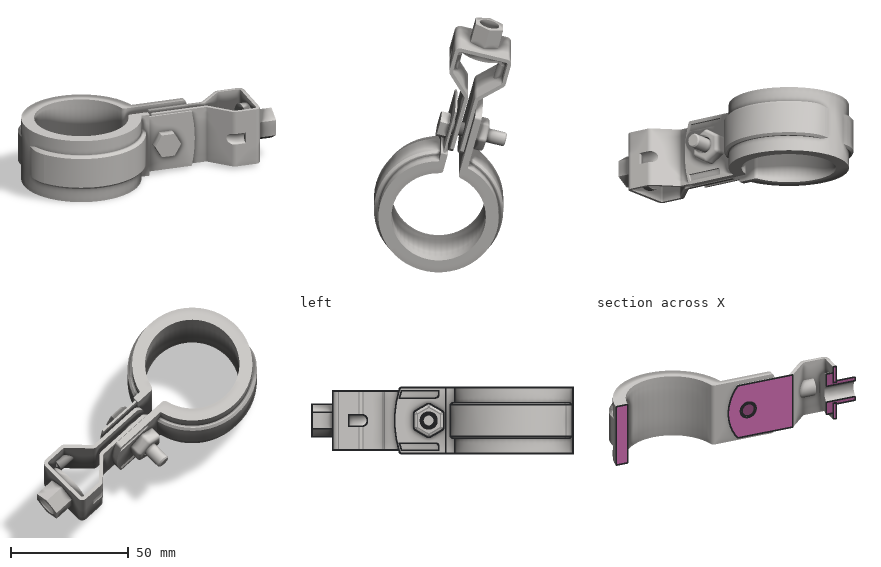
import cadquery as cq
import math

overall_length = 110.8
bore_diameter = 40.0
ring_radius = 25.5
ring_height = 28.0
gap_half = 3.4
gap_corner_radius = 1.5
lug_thickness = 2.9
lug_end_y = 28.5

band_diameter = 54.9
band_height = 15.2
band_chamfer = 1.0
band_flat_y = -24.9
band_blend_radius = 14.0

strip_height = 25.0

bolt_y = 35.8
bolt_hole_diameter = 7.0
flap_length = 21.7
flap_bulge = 2.2
flap_corner_radius = 1.1
groove_outer_z = 12.5
groove_inner_z = 9.5
groove_start_y = 31.6
groove_outer_end_y = 47.3
groove_inner_end_y = 48.2
groove_depth = 1.0
groove_corner_radius = 1.3
plate_thickness = 0.9
plate_length = 20.6
plate_bulge = 1.3
plate_offset = 1.0

sheet = 1.5
bracket_half_width = 12.3
bracket_top_y = 76.5
shoulder_y = 64.4
leg_gap = 2.8
leg_end_y = 26.5
leg_bulge = 4.4
top_bend_radius = 2.3
inner_bend_radius = 1.0
outer_bend_radius = inner_bend_radius + sheet

stop_groove_diameter = 4.9
stop_bulge_diameter = 8.5
stop_inset = 0.2
stop_end_y = 69.6

coupling_flats = 12.0
neck_diameter = 10.5
coupling_bore = 8.5
flange_diameter = 20.0
flange_thickness = 3.1

bolt_diameter = 6.0
bolt_tip_diameter = 4.9
bolt_tip_x = -20.0
head_flats = 10.0
head_height = 4.0
nut_flats = 12.7
nut_height = 5.3
nut_edge_radius = 1.4

bore_radius = bore_diameter / 2
band_radius = band_diameter / 2
leg_half_gap = leg_gap / 2
coupling_end_y = overall_length - ring_radius
lug_outer_x = gap_half + lug_thickness
plate_inner_x = gap_half + plate_offset
plate_outer_x = plate_inner_x + plate_thickness


def cylinder_along_x(diameter, x_from, x_to):
    """Cylinder on the bolt axis."""
    plane = cq.Workplane("YZ", origin=(x_from, bolt_y, 0))
    return plane.circle(diameter / 2).extrude(x_to - x_from)


def hexagon_diameter(flats):
    """Distance across the corners of a hexagon."""
    return flats / math.cos(math.pi / 6)


def bolt_hole():
    """Cutter for the clearance hole through the clamped bodies."""
    return cylinder_along_x(bolt_hole_diameter, -ring_radius, ring_radius)


def tongue(x_from, x_to, y_from, y_to, height, bulge):
    """Upright plate whose +Y or -Y end (y_to) is bowed outwards by `bulge`."""
    half = height / 2
    corner_y = y_to - math.copysign(bulge, y_to - y_from)
    return (
        cq.Workplane("YZ", origin=(x_from, 0, 0))
        .moveTo(y_from, -half)
        .lineTo(corner_y, -half)
        .threePointArc((y_to, 0), (corner_y, half))
        .lineTo(y_from, half)
        .close()
        .extrude(x_to - x_from)
    )


def edges_near(x_range, y_range, height):
    """Selector for the edges whose centres lie in a range of X and Y."""
    margin = 0.1
    return cq.selectors.BoxSelector(
        (x_range[0] - margin, y_range[0] - margin, -height),
        (x_range[1] + margin, y_range[1] + margin, height))


def upright_box(x_from, x_to, y_from, y_to, height):
    """Box centred on Z = 0."""
    return (
        cq.Workplane("XY", origin=((x_from + x_to) / 2, (y_from + y_to) / 2, 0))
        .box(x_to - x_from, y_to - y_from, height)
    )


def make_band():
    """Solid disc with a blended flat at -Y, chamfered rims and a slot for the lugs."""
    blend_y = band_flat_y + band_blend_radius
    blend_x = math.sqrt((band_radius - band_blend_radius) ** 2 - blend_y ** 2)
    reach = band_radius / (band_radius - band_blend_radius)
    tangent = (blend_x * reach, blend_y * reach)
    half_turn = (math.atan2(tangent[1] - blend_y, tangent[0] - blend_x) - math.pi / 2) / 2
    middle = (blend_x + band_blend_radius * math.cos(half_turn),
              blend_y + band_blend_radius * math.sin(half_turn))
    band = (
        cq.Workplane("XY", origin=(0, 0, -band_height / 2))
        .moveTo(-blend_x, band_flat_y)
        .lineTo(blend_x, band_flat_y)
        .threePointArc(middle, tangent)
        .threePointArc((0, band_radius), (-tangent[0], tangent[1]))
        .threePointArc((-middle[0], middle[1]), (-blend_x, band_flat_y))
        .close()
        .extrude(band_height)
        .faces("|Z")
        .chamfer(band_chamfer)
    )
    lug_slot = upright_box(-lug_outer_x, lug_outer_x, 0, 2 * band_radius, ring_height)
    return band.cut(lug_slot)


def make_ring():
    """Split ring with a raised band and two lugs along the opening."""
    ring = cq.Workplane("XY", origin=(0, 0, -ring_height / 2)).circle(ring_radius).extrude(ring_height)
    lugs = upright_box(-lug_outer_x, lug_outer_x, 0, lug_end_y, ring_height)
    bore = cq.Workplane("XY", origin=(0, 0, -ring_height)).circle(bore_radius).extrude(2 * ring_height)
    gap = upright_box(-gap_half, gap_half, 0, 2 * ring_radius, 2 * ring_height)
    ring = ring.union(lugs).union(make_band()).cut(bore).cut(gap)
    gap_corner_y = math.sqrt(bore_radius ** 2 - gap_half ** 2)
    gap_corners = edges_near((-gap_half, gap_half), (gap_corner_y, gap_corner_y), ring_height)
    return ring.edges("|Z").edges(gap_corners).fillet(gap_corner_radius)


def make_flap():
    """Thick clamp plate on the -X lug with two grooves in its outer face."""
    flap = tongue(-lug_outer_x, -gap_half, lug_end_y, lug_end_y + flap_length,
                  ring_height, flap_bulge)
    corner_y = lug_end_y + flap_length - flap_bulge
    corners = edges_near((-lug_outer_x, -gap_half), (corner_y, corner_y), ring_height)
    flap = flap.edges("|X").edges(corners).fillet(flap_corner_radius)
    for side in (1, -1):
        groove = (
            cq.Workplane("YZ", origin=(-lug_outer_x, 0, 0))
            .moveTo(groove_start_y, side * groove_outer_z)
            .lineTo(groove_outer_end_y, side * groove_outer_z)
            .lineTo(groove_inner_end_y, side * groove_inner_z)
            .lineTo(groove_start_y + groove_corner_radius, side * groove_inner_z)
            .radiusArc((groove_start_y, side * (groove_inner_z + groove_corner_radius)),
                       side * groove_corner_radius)
            .close()
            .extrude(groove_depth)
        )
        flap = flap.cut(groove)
    return flap.cut(bolt_hole())


def make_plate():
    """Thin clamp plate on the +X lug."""
    plate = tongue(plate_inner_x, plate_outer_x, lug_end_y, lug_end_y + plate_length,
                   strip_height, plate_bulge)
    return plate.cut(bolt_hole())


def make_bracket():
    """Bent strip with two legs, 45 degree shoulders and pressed stops."""
    leg_x = leg_half_gap + sheet
    waist_y = shoulder_y - (bracket_half_width - leg_x)
    mitre = sheet * math.tan(math.pi / 8)
    inner_x = bracket_half_width - sheet

    def prism(points):
        """Upright prism over the right-hand half outline and its mirror image."""
        mirrored = [(-x, y) for x, y in reversed(points)]
        return (
            cq.Workplane("XY", origin=(0, 0, -strip_height / 2))
            .polyline(points + mirrored)
            .close()
            .extrude(strip_height)
        )

    def bend(body, x, y, radius):
        """Round the pair of upright edges at (x, y) and (-x, y)."""
        for side in (1, -1):
            corner = edges_near((side * x, side * x), (y, y), strip_height)
            body = body.edges("|Z").edges(corner).fillet(radius)
        return body

    outside = prism([(leg_x, 0), (leg_x, waist_y), (bracket_half_width, shoulder_y),
                     (bracket_half_width, bracket_top_y)])
    outside = bend(outside, leg_x, waist_y, inner_bend_radius)
    outside = bend(outside, bracket_half_width, shoulder_y, outer_bend_radius)
    outside = bend(outside, bracket_half_width, bracket_top_y, top_bend_radius)
    inside = prism([(leg_half_gap, 0), (leg_half_gap, waist_y + mitre), (inner_x, shoulder_y + mitre),
                    (inner_x, bracket_top_y - sheet)])
    inside = bend(inside, leg_half_gap, waist_y + mitre, outer_bend_radius)
    inside = bend(inside, inner_x, shoulder_y + mitre, inner_bend_radius)
    inside = bend(inside, inner_x, bracket_top_y - sheet, top_bend_radius - sheet)

    bracket = outside.cut(inside)
    stop_x = bracket_half_width - stop_inset
    for side in (1, -1):
        stop_plane = cq.Workplane("XZ", origin=(side * stop_x, stop_end_y, 0))
        stop_length = stop_end_y - waist_y
        bulge = stop_plane.circle(stop_bulge_diameter / 2).extrude(stop_length)
        groove = stop_plane.circle(stop_groove_diameter / 2).extrude(stop_length)
        bracket = bracket.union(bulge.intersect(outside)).cut(groove)

    end_shape = tongue(-bracket_half_width, bracket_half_width, bracket_top_y, leg_end_y,
                       strip_height, leg_bulge)
    neck_hole = cq.Workplane("XZ", origin=(0, coupling_end_y, 0)).circle(neck_diameter / 2).extrude(
        coupling_end_y - shoulder_y)
    return bracket.intersect(end_shape).cut(neck_hole).cut(bolt_hole())


def make_coupling():
    """Bored hexagon, neck through the bracket, and round flange inside it."""
    seat_y = bracket_top_y - sheet
    hexagon = (
        cq.Workplane("XZ", origin=(0, coupling_end_y, 0))
        .transformed(rotate=(0, 0, 90))
        .polygon(6, hexagon_diameter(coupling_flats))
        .extrude(coupling_end_y - bracket_top_y)
    )
    neck = cq.Workplane("XZ", origin=(0, bracket_top_y, 0)).circle(neck_diameter / 2).extrude(sheet)
    flange = cq.Workplane("XZ", origin=(0, seat_y, 0)).circle(flange_diameter / 2).extrude(flange_thickness)
    bore = cq.Workplane("XZ", origin=(0, coupling_end_y, 0)).circle(coupling_bore / 2).extrude(
        coupling_end_y - seat_y + flange_thickness)
    return hexagon.union(neck).union(flange).cut(bore)


def make_bolt():
    """Hexagon head bolt along X with a chamfered tip."""
    tip_chamfer = (bolt_diameter - bolt_tip_diameter) / 2
    shank = cylinder_along_x(bolt_diameter, bolt_tip_x, plate_outer_x).faces("<X").chamfer(tip_chamfer)
    head = (
        cq.Workplane("YZ", origin=(plate_outer_x, bolt_y, 0))
        .polygon(6, hexagon_diameter(head_flats))
        .extrude(head_height)
    )
    return shank.union(head)


def make_nut():
    """Hexagon nut with rounded edges, seated on the flap."""
    nut = (
        cq.Workplane("YZ", origin=(-lug_outer_x - nut_height, bolt_y, 0))
        .transformed(rotate=(0, 0, 90))
        .polygon(6, hexagon_diameter(nut_flats))
        .extrude(nut_height)
        .edges("|X or <X")
        .fillet(nut_edge_radius)
    )
    return nut.cut(bolt_hole())


ring = make_ring()
flap = make_flap()
plate = make_plate()
bracket = make_bracket()
coupling = make_coupling()
bolt = make_bolt()
nut = make_nut()

result = cq.Compound.makeCompound([
    ring.solids().val(),
    flap.solids().val(),
    plate.solids().val(),
    bracket.solids().val(),
    coupling.solids().val(),
    bolt.solids().val(),
    nut.solids().val(),
])